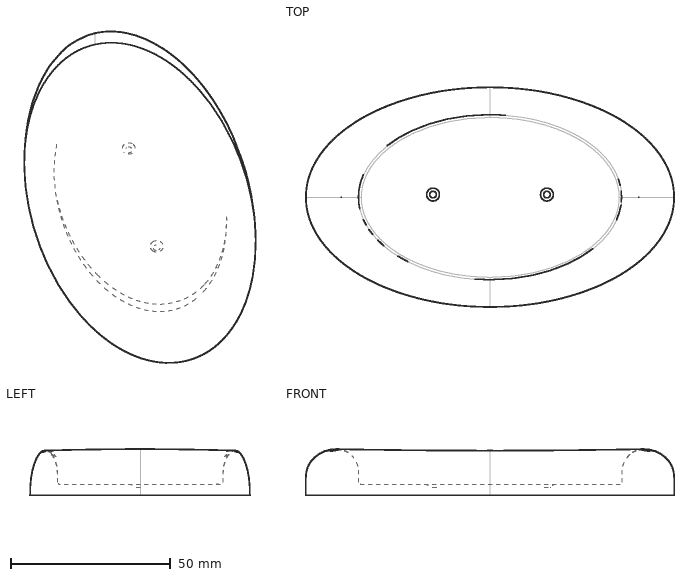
import cadquery as cq
import math

OUTER_X, OUTER_Y = 115.5 / 2, 69.0 / 2
CREST_X, CREST_Y = 47.9, 29.7
INNER_X, INNER_Y = 41.2, 25.9

HEIGHT_X, HEIGHT_Y = 14.5, 14.1
OUTER_SHOULDER_X, OUTER_SHOULDER_Y = 5.8, 0.6
INNER_SHOULDER_X, INNER_SHOULDER_Y = 6.9, 5.8

FLOOR_THICKNESS = 3.5
FLOOR_FILLET = 0.8

SINK_SPACING = 35.7
SINK_Y = 0.8
SINK_TOP_DIAMETER = 4.0
SINK_BOTTOM_DIAMETER = 2.1
SINK_DEPTH = 0.9

SECTIONS_PER_QUARTER = 13
STRAIGHT_STEPS = 4
CURVE_STEPS = 10
SURFACE_TOLERANCE = 0.01


def blend(at_x, at_y, angle):
    """Go smoothly from the X-end value to the Y-side value over a quarter turn."""
    return at_x * math.cos(angle) ** 2 + at_y * math.sin(angle) ** 2


def wall_points(foot, crest, shoulder, height):
    """Points up a wall: straight from its foot to the shoulder, then a quarter ellipse to the crest."""
    points = []
    for i in range(STRAIGHT_STEPS):
        points.append(cq.Vector(foot.x, foot.y, foot.z + (shoulder - foot.z) * i / STRAIGHT_STEPS))
    for i in range(CURVE_STEPS + 1):
        turn = math.pi / 2 * i / CURVE_STEPS
        level = crest + (foot - crest) * math.cos(turn)
        points.append(cq.Vector(level.x, level.y, shoulder + (height - shoulder) * math.sin(turn)))
    return points


def rim_section(angle):
    """Points over the rim from its outer foot to the floor, at one ellipse angle."""
    cos_a, sin_a = math.cos(angle), math.sin(angle)
    outer_foot = cq.Vector(OUTER_X * cos_a, OUTER_Y * sin_a, 0)
    crest = cq.Vector(CREST_X * cos_a, CREST_Y * sin_a, 0)
    inner_foot = cq.Vector(INNER_X * cos_a, INNER_Y * sin_a, FLOOR_THICKNESS)

    height = blend(HEIGHT_X, HEIGHT_Y, angle)
    outer_shoulder = blend(OUTER_SHOULDER_X, OUTER_SHOULDER_Y, angle)
    inner_shoulder = blend(INNER_SHOULDER_X, INNER_SHOULDER_Y, angle)
    outer_wall = wall_points(outer_foot, crest, outer_shoulder, height)
    inner_wall = wall_points(inner_foot, crest, inner_shoulder, height)
    return outer_wall + inner_wall[-2::-1]


def make_rim_faces():
    """Smooth surface over one quarter of the rim, mirrored into a full ring of four faces."""
    last = SECTIONS_PER_QUARTER - 1
    sections = [rim_section(math.pi / 2 * i / last) for i in range(SECTIONS_PER_QUARTER)]
    quarter = cq.Face.makeSplineApprox(sections, tol=SURFACE_TOLERANCE)
    half = [quarter, quarter.mirror("YZ")]
    return half + [face.mirror("XZ") for face in half]


def make_level_face(rim_faces, z):
    """Flat face bounded by the rim edges that lie at height z."""
    edges = []
    for face in rim_faces:
        edges += [edge for edge in face.Edges() if abs(edge.BoundingBox().zmax - z) < SURFACE_TOLERANCE]
    return cq.Face.makeFromWires(cq.Wire.combine(edges, SURFACE_TOLERANCE)[0])


def make_dish():
    """Solid enclosed by the rim, the underside and the floor, with the floor edge rounded."""
    rim_faces = make_rim_faces()
    underside = make_level_face(rim_faces, 0)
    floor = make_level_face(rim_faces, FLOOR_THICKNESS)
    shell = cq.Shell.makeShell(rim_faces + [underside, floor])
    dish = cq.Workplane(cq.Solid.makeSolid(shell).fix())
    floor_face = cq.selectors.NearestToPointSelector((0, 0, FLOOR_THICKNESS))
    return dish.faces(floor_face).edges().fillet(FLOOR_FILLET)


def make_countersink(x):
    """Cone-shaped cutter pointing down into the floor."""
    top = cq.Vector(x, SINK_Y, FLOOR_THICKNESS)
    down = cq.Vector(0, 0, -1)
    return cq.Solid.makeCone(SINK_TOP_DIAMETER / 2, SINK_BOTTOM_DIAMETER / 2, SINK_DEPTH, top, down)


result = make_dish()
for sink_x in (-SINK_SPACING / 2, SINK_SPACING / 2):
    result = result.cut(cq.Workplane(make_countersink(sink_x)))